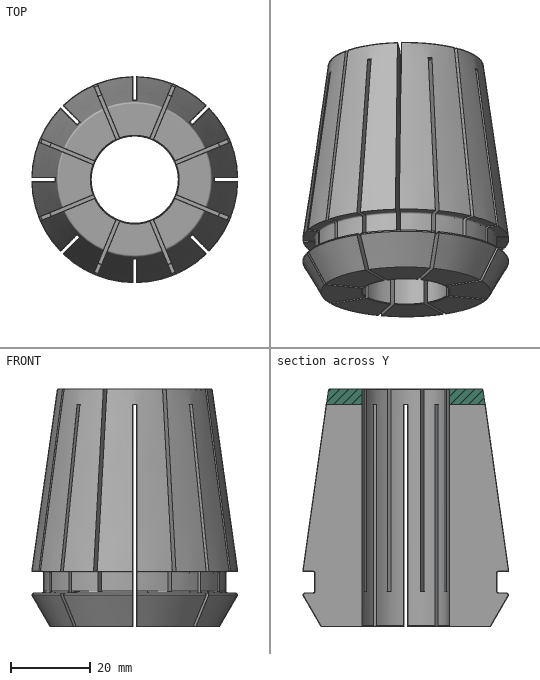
import cadquery as cq
import math

length = 60.0
max_radius = 26.0
bore_radius = 11.0
bore_chamfer = 0.2

nose_angle = 30.0
nose_height = 8.0
nose_chamfer = 0.5

groove_radius = 23.0
groove_bottom = nose_height + nose_chamfer
groove_top = 13.9
groove_fillet = 0.4

taper_angle = 8.0
top_edge_fillet = 0.5

slots_per_set = 8
slot_width = 1.0
end_web = 4.0
floor_step = 0.3
upper_slot_floor = groove_bottom + floor_step
slot_pitch = 360.0 / slots_per_set

nose_end_radius = max_radius - nose_height * math.tan(math.radians(nose_angle))
taper_end_radius = max_radius - (length - groove_top) * math.tan(math.radians(taper_angle))


def make_body():
    """Revolve the outside profile and the bore about the Z axis."""
    diagonal = math.sqrt(0.5)
    groove_root = groove_radius + groove_fillet
    profile = (
        cq.Workplane("XZ")
        .moveTo(bore_radius + bore_chamfer, 0)
        .lineTo(nose_end_radius, 0)
        .lineTo(max_radius, nose_height)
        .lineTo(max_radius - nose_chamfer, groove_bottom)
        .lineTo(groove_root, groove_bottom)
        .threePointArc(
            (groove_root - groove_fillet * diagonal, groove_bottom + groove_fillet * (1 - diagonal)),
            (groove_radius, groove_bottom + groove_fillet),
        )
        .lineTo(groove_radius, groove_top - groove_fillet)
        .threePointArc(
            (groove_root - groove_fillet * diagonal, groove_top - groove_fillet * (1 - diagonal)),
            (groove_root, groove_top),
        )
        .lineTo(max_radius, groove_top)
        .lineTo(taper_end_radius, length)
        .lineTo(bore_radius + bore_chamfer, length)
        .lineTo(bore_radius, length - bore_chamfer)
        .lineTo(bore_radius, bore_chamfer)
        .close()
    )
    body = profile.revolve(360, (0, 0, 0), (0, 1, 0))
    top_outer_edge = cq.selectors.RadiusNthSelector(-1)
    return body.faces(">Z").edges(top_outer_edge).fillet(top_edge_fillet)


def cut_slots(body, start_angle, bottom, top):
    """Cut one set of evenly spaced radial slots between two heights."""
    slot = cq.Workplane("XY").box(2 * max_radius, slot_width, top - bottom, centered=(False, True, False))
    slot = slot.translate((0, 0, bottom))
    for index in range(slots_per_set):
        body = body.cut(slot.rotate((0, 0, 0), (0, 0, 1), start_angle + index * slot_pitch))
    return body


collet = make_body()
collet = cut_slots(collet, 0, 0, length - end_web)
collet = cut_slots(collet, slot_pitch / 2, upper_slot_floor, length)
result = collet